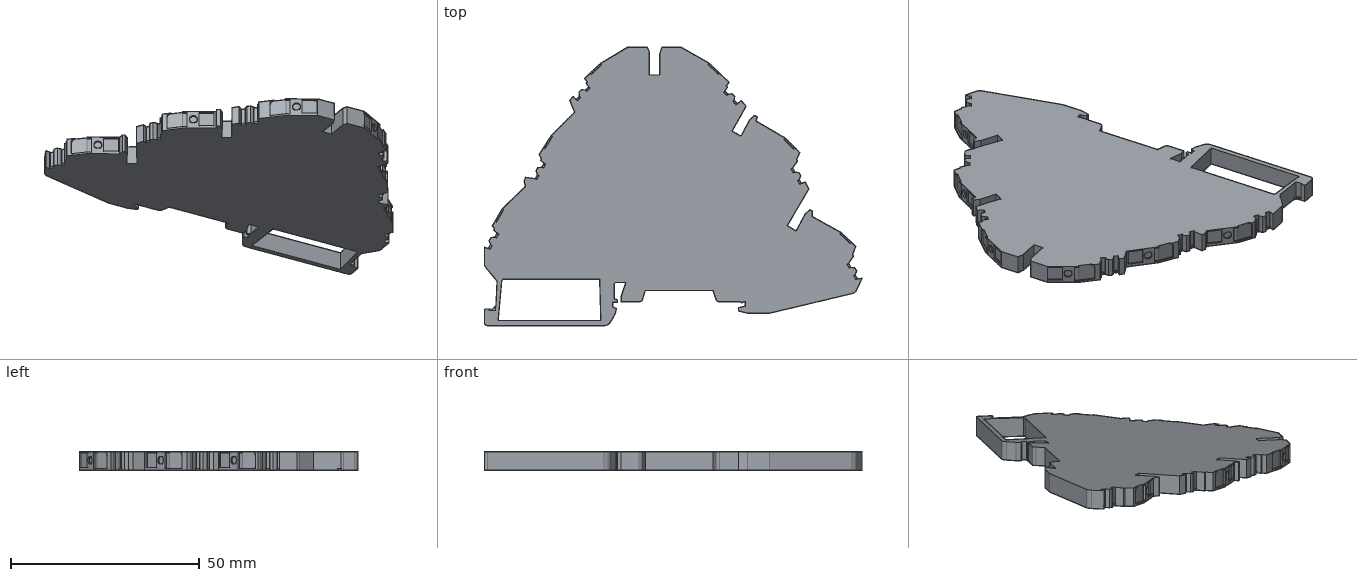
import cadquery as cq
import math

THICKNESS = 5.0
HEIGHT = 73.7
WIDTH = 100.0
TOP_SLOT_FLOOR_Y = 66.4
RIGHT, LEFT = 1, -1

NOTCH_PITCH = 3.5
NOTCH_FLOOR_HALF = 0.6
TOOTH_TIP_HALF = 0.5
TOOTH_HEIGHT = 0.85
SKIN = 0.5
NOTCH_STEP = 0.5

SHORT_LIP = (-0.8, 1.2)
LONG_LIP = (-1.6, 2.1)
LIP_STEP = 0.45

RECESS_DEPTH = 0.45
RECESS_TOP = 4.65
WIRE_NEAR, WIRE_FAR = 4.4, 8.3
WIRE_BOTTOM = 0.8
TEST_HOLE_OFFSET = 2.9
TEST_HOLE_RADIUS = 1.05
TEST_HOLE_Z = 2.7
DRIVER_START = 1.2
DRIVER_LENGTH = 4.3
DRIVER_TOP_RADIUS = 1.1
DRIVER_BOTTOM_RADIUS = 0.4

WINDOW = [(3.7, 1.4), (30.8, 1.4), (30.5, 12.3), (5.0, 12.3), (4.65, 11.9)]

FOOT_LEDGE_Y = 4.45
FOOT_GUSSET_END = (2.3, FOOT_LEDGE_Y)
FOOT_WALL = (3.05, 5.4)
FOOT_WALL_TOP = (3.35, 11.8)
FOOT_GROOVE_START = 1.2
FOOT_GROOVE_DEPTH = 0.4

KEEL_Y = 3.3
RAIL_FACE_Y = 6.3
RAIL_GAP_Y = 9.3
RIGHT_TIP = (98.2, 8.7)
RAIL_RIGHT_CORNER = (61.5, RAIL_FACE_Y)
RAIL_LEFT_CORNER = (41.7, RAIL_FACE_Y)
FOOT_RIGHT_CORNER = (32.85, 0)
FOOT_LEFT_CORNER = (0, 0)
CORNER_RADII = {
    RIGHT_TIP: 2.0,
    RAIL_RIGHT_CORNER: 1.0,
    RAIL_LEFT_CORNER: 1.0,
    FOOT_RIGHT_CORNER: 2.0,
    FOOT_LEFT_CORNER: 0.9,
}

TOP_LEFT = dict(side=LEFT, entry=(37.9, HEIGHT), corner=(30.7, 69.4), end=(26.5, 65.4),
                notch=(27.2, 62.8), slope=45, lip=SHORT_LIP)
MID_LEFT = dict(side=LEFT, entry=(23.9, 56.5), corner=(17.6, 50.2), end=(14.5, 45.3),
                notch=(15.5, 42.5), slope=60, lip=SHORT_LIP)
LOW_LEFT = dict(side=LEFT, entry=(10.9, 36.9), corner=(4.7, 30.9), end=(2.1, 26.4),
                notch=(3.1, 24.0), slope=60, lip=SHORT_LIP)
TOP_RIGHT = dict(side=RIGHT, entry=(52.1, HEIGHT), corner=(59.5, 69.5), end=(64.8, 64.4),
                 notch=(64.1, 61.7), slope=45, lip=SHORT_LIP)
MID_RIGHT = dict(side=RIGHT, entry=(71.9, 54.2), corner=(79.6, 49.7), end=(83.5, 45.8),
                 notch=(81.9, 41.2), slope=60, lip=LONG_LIP)
LOW_RIGHT = dict(side=RIGHT, entry=(86.8, 28.9), corner=(94.4, 24.7), end=(98.3, 21.0),
                 notch=(96.7, 16.0), slope=60, lip=LONG_LIP)
CLAMPS = [TOP_LEFT, MID_LEFT, LOW_LEFT, TOP_RIGHT, MID_RIGHT, LOW_RIGHT]


def offset(point, along, distance, outward=(0, 0), height=0):
    """Point moved by a distance along one unit vector and a height along another."""
    return (point[0] + distance * along[0] + height * outward[0],
            point[1] + distance * along[1] + height * outward[1])


def heading(start, end):
    """Unit vector from start to end."""
    length = math.dist(start, end)
    return ((end[0] - start[0]) / length, (end[1] - start[1]) / length)


def outward_of(along, side):
    """Unit normal leaving the plate, for a direction running down one flank."""
    return (-side * along[1], side * along[0])


def teeth_axes(clamp):
    """Direction down the row of teeth and its outward normal."""
    slope = math.radians(clamp["slope"])
    along = (clamp["side"] * math.cos(slope), -math.sin(slope))
    return along, outward_of(along, clamp["side"])


def clamp_outline(clamp):
    """Facets, notches and tooth of one clamp, listed from top to bottom."""
    along, outward = teeth_axes(clamp)
    tooth = NOTCH_PITCH / 2
    lip_along, lip_out = clamp["lip"]
    row = [
        (lip_along - LIP_STEP, lip_out),
        (lip_along, lip_out),
        (-NOTCH_FLOOR_HALF, 0),
        (NOTCH_FLOOR_HALF, 0),
        (tooth - TOOTH_TIP_HALF, TOOTH_HEIGHT),
        (tooth + TOOTH_TIP_HALF, TOOTH_HEIGHT),
        (NOTCH_PITCH - NOTCH_FLOOR_HALF, 0),
        (NOTCH_PITCH + NOTCH_FLOOR_HALF, 0),
    ]
    teeth = [offset(clamp["notch"], along, t, outward, h) for t, h in row]
    return [clamp["entry"], clamp["corner"], clamp["end"]] + teeth


def plate():
    """Plate outline, clockwise from the top edge, extruded to full thickness."""
    top_slot = [
        (43.1, HEIGHT), (43.7, 72.5), (43.7, TOP_SLOT_FLOOR_Y),
        (46.4, TOP_SLOT_FLOOR_Y), (46.4, 71.9), (47.0, HEIGHT),
    ]
    upper_slot = [(68.0, 59.6), (69.3, 58.1), (65.6, 51.5), (67.9, 50.2), (70.2, 54.5)]
    upper_hook = [(71.5, 55.7), (72.3, 55.2)]
    lower_slot = [(84.9, 38.1), (85.9, 36.2), (80.2, 26.5), (82.5, 25.1), (84.9, 29.6)]
    lower_hook = [(86.2, 30.7), (86.8, 30.4)]
    right_foot = [
        (WIDTH, 12.6), RIGHT_TIP, (75.5, KEEL_Y), (69.7, KEEL_Y), (67.2, 3.9), (67.2, 4.8),
        (69.0, 5.2), (69.0, RAIL_FACE_Y), (68.5, RAIL_FACE_Y), (68.2, 6.0), (67.7, RAIL_FACE_Y),
        RAIL_RIGHT_CORNER, (60.5, RAIL_GAP_Y),
    ]
    rail_hook = [(42.6, RAIL_GAP_Y), RAIL_LEFT_CORNER, (36.2, RAIL_FACE_Y), (36.2, 7.8), (37.4, 11.4)]
    left_foot = [
        (34.7, 11.4), (34.4, 11.1), (34.4, 7.2), (35.3, 6.8), (35.3, 6.2), (34.0, 6.2), (34.0, 5.0),
        (35.0, 4.6), (34.7, 3.2), FOOT_RIGHT_CORNER, FOOT_LEFT_CORNER, (0, 3.9), (0.15, FOOT_LEDGE_Y),
        FOOT_GUSSET_END, FOOT_WALL, FOOT_WALL_TOP, (0.3, 15.5), (0, 16.2), (0, 20.8),
    ]
    low_left_shoulder = [(10.9, 39.3), (10.5, 38.2)]
    mid_left_shoulder = [(23.5, 60.7), (22.6, 59.6)]

    points = (
        top_slot
        + clamp_outline(TOP_RIGHT) + upper_slot + upper_hook
        + clamp_outline(MID_RIGHT) + lower_slot + lower_hook
        + clamp_outline(LOW_RIGHT) + right_foot + rail_hook + left_foot
        + clamp_outline(LOW_LEFT)[::-1] + low_left_shoulder[::-1]
        + clamp_outline(MID_LEFT)[::-1] + mid_left_shoulder[::-1]
        + clamp_outline(TOP_LEFT)[::-1]
    )
    blank = cq.Workplane("XY").polyline(points).close().extrude(THICKNESS)
    for corner, radius in CORNER_RADII.items():
        mid_edge = cq.NearestToPointSelector((*corner, THICKNESS / 2))
        blank = blank.edges(mid_edge).fillet(radius)
    return blank


def prism(points, bottom, top):
    """Vertical prism between two heights."""
    return cq.Workplane("XY").workplane(offset=bottom).polyline(points).close().extrude(top - bottom)


def facet_box(origin, along, outward, start, end, depth):
    """Plan rectangle sunk by depth into a facet."""
    return [
        offset(origin, along, start, outward, depth),
        offset(origin, along, end, outward, depth),
        offset(origin, along, end, outward, -depth),
        offset(origin, along, start, outward, -depth),
    ]


def notch_steps(clamp):
    """Deeper part of both notches, above the back layer."""
    along, outward = teeth_axes(clamp)
    steps = []
    for centre in (0, NOTCH_PITCH):
        box = facet_box(clamp["notch"], along, outward,
                        centre - NOTCH_FLOOR_HALF, centre + NOTCH_FLOOR_HALF, NOTCH_STEP)
        steps.append(prism(box, SKIN, THICKNESS))
    return steps


def entry_recesses(clamp):
    """Wire opening, test hole and upper end of the driver opening, on the entry facet."""
    corner = clamp["corner"]
    along = heading(clamp["entry"], corner)
    outward = outward_of(along, clamp["side"])
    wire = facet_box(corner, along, outward, -WIRE_FAR, -WIRE_NEAR, RECESS_DEPTH)
    driver = facet_box(corner, along, outward, -DRIVER_START, 0, RECESS_DEPTH)
    floor_centre = offset(corner, along, -TEST_HOLE_OFFSET, outward, -RECESS_DEPTH)
    test_hole = cq.Solid.makeCylinder(
        TEST_HOLE_RADIUS, 2 * RECESS_DEPTH,
        cq.Vector(*floor_centre, TEST_HOLE_Z), cq.Vector(*outward, 0),
    )
    return [
        prism(wire, WIRE_BOTTOM, RECESS_TOP),
        prism(driver, SKIN, RECESS_TOP),
        cq.Workplane(test_hole),
    ]


def driver_recess(clamp):
    """Driver opening on the second facet: open at the front face, rounded at its lower end."""
    corner = clamp["corner"]
    along = heading(corner, clamp["end"])
    outward = outward_of(along, clamp["side"])
    box = prism(facet_box(corner, along, outward, 0, DRIVER_LENGTH, RECESS_DEPTH), SKIN, THICKNESS)
    far_end = cq.Vector(*along, 0)
    end_face = cq.selectors.DirectionMinMaxSelector(far_end, True)
    box = box.faces(end_face).edges(">Z").fillet(DRIVER_TOP_RADIUS)
    return box.faces(end_face).edges("<Z").fillet(DRIVER_BOTTOM_RADIUS)


def foot_undercut():
    """Squares off the corner of the left foot ledge and sinks a groove in it, above the back layer."""
    groove_floor = FOOT_LEDGE_Y - FOOT_GROOVE_DEPTH
    lean = (FOOT_WALL_TOP[0] - FOOT_WALL[0]) / (FOOT_WALL_TOP[1] - FOOT_WALL[1])
    wall_foot = (FOOT_WALL[0] - lean * (FOOT_WALL[1] - groove_floor), groove_floor)
    points = [
        (FOOT_GROOVE_START, groove_floor), wall_foot, FOOT_WALL,
        FOOT_GUSSET_END, (FOOT_GROOVE_START, FOOT_LEDGE_Y),
    ]
    return prism(points, SKIN, THICKNESS)


body = plate().cut(prism(WINDOW, 0, THICKNESS)).cut(foot_undercut())
for clamp in CLAMPS:
    for recess in notch_steps(clamp) + entry_recesses(clamp) + [driver_recess(clamp)]:
        body = body.cut(recess)

result = body